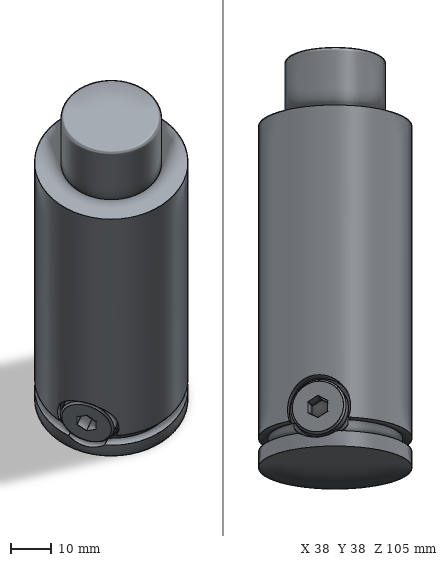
import cadquery as cq

total_height = 105.0
body_diameter = 38.0
body_height = 88.0
rod_diameter = 25.0
rod_edge_radius = 1.0

groove_diameter = 33.4
groove_bottom = 4.0
groove_top = 7.6

plug_height = 10.5
recess_diameter = 16.1
recess_floor = 15.2
plug_diameter = 14.1
plug_reach = 18.5
plug_chamfer = 0.5
hex_across_flats = 4.9
hex_depth = 4.2


def upright_cylinder(diameter, bottom, top):
    """Cylinder on the Z axis between two heights."""
    return cq.Workplane("XY").workplane(offset=bottom).circle(diameter / 2).extrude(top - bottom)


def plug_plane(reach):
    """Plane facing -Y, centred on the plug at a distance from the body axis."""
    return cq.Workplane("XZ", origin=(0, -reach, plug_height))


def make_body():
    """Cylinder body with its groove and the rounded piston rod on top."""
    body = upright_cylinder(body_diameter, 0, body_height)
    groove = upright_cylinder(body_diameter, groove_bottom, groove_top).cut(
        upright_cylinder(groove_diameter, groove_bottom, groove_top)
    )
    rod = upright_cylinder(rod_diameter, body_height, total_height)
    rod = rod.faces(">Z").edges().fillet(rod_edge_radius)
    return body.cut(groove).union(rod)


def add_plug(body):
    """Set the hex-socket plug into a round recess in the side."""
    plug = plug_plane(0).circle(plug_diameter / 2).extrude(plug_reach)
    plug = plug.faces("<Y").edges().chamfer(plug_chamfer)
    recess = plug_plane(recess_floor).circle(recess_diameter / 2).extrude(body_diameter / 2)

    socket = (
        plug_plane(plug_reach)
        .polygon(6, hex_across_flats, circumscribed=True)
        .extrude(-hex_depth)
    )
    return body.cut(recess).union(plug).cut(socket)


result = add_plug(make_body())